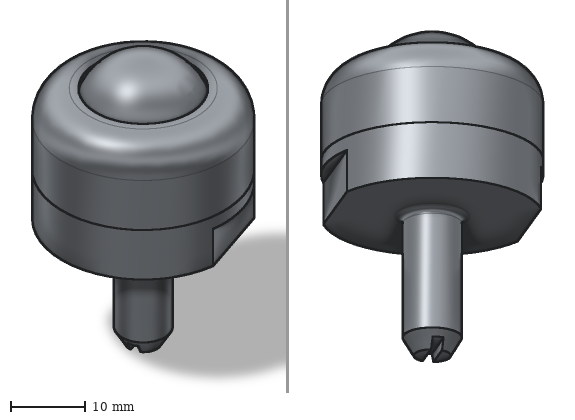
import cadquery as cq

overall_height = 46.0
body_diameter = 30.0
body_radius = body_diameter / 2

base_height = 8.0
cover_height = 13.0
cover_edge_radius = 5.0
cover_top = base_height + cover_height

flat_spacing = 27.0
flat_height = 6.0

stud_length = 20.0
stud_radius = 8.0 / 2
stud_root_fillet = 1.0
tip_radius = 4.95 / 2
tip_length = 2.58
slot_width = 1.5
slot_depth = 1.5

ball_radius = 19.05 / 2
ball_top = overall_height - stud_length
ball_center_z = ball_top - ball_radius
opening_radius = 17.5 / 2


def make_ball():
    return cq.Workplane("XY").sphere(ball_radius).translate((0, 0, ball_center_z))


def make_cover(ball):
    cover = cq.Workplane("XY").workplane(offset=base_height).circle(body_radius).extrude(cover_height)
    cover = cover.faces(">Z").edges().fillet(cover_edge_radius)
    opening = (
        cq.Workplane("XY").workplane(offset=ball_center_z)
        .circle(opening_radius).extrude(cover_top - ball_center_z)
    )
    return cover.cut(opening).cut(ball)


def make_stud():
    root_z = -stud_root_fillet
    arc_offset = stud_root_fillet * (1 - 0.5 ** 0.5)
    profile = (
        cq.Workplane("XZ")
        .moveTo(0, 0)
        .lineTo(stud_radius + stud_root_fillet, 0)
        .threePointArc((stud_radius + arc_offset, -arc_offset), (stud_radius, root_z))
        .lineTo(stud_radius, tip_length - stud_length)
        .lineTo(tip_radius, -stud_length)
        .lineTo(0, -stud_length)
        .close()
    )
    stud = profile.revolve(360, (0, 0, 0), (0, 1, 0))
    slot = (
        cq.Workplane("XY").workplane(offset=-stud_length)
        .rect(slot_width, 2 * stud_radius).extrude(slot_depth)
    )
    return stud.cut(slot)


def make_base(ball):
    base = cq.Workplane("XY").circle(body_radius).extrude(base_height)
    between_flats = cq.Workplane("XY").rect(flat_spacing, body_diameter).extrude(flat_height)
    outside_flats = cq.Workplane("XY").circle(body_radius).extrude(flat_height).cut(between_flats)
    return base.cut(outside_flats).union(make_stud()).cut(ball)


ball = make_ball()
cover = make_cover(ball)
base = make_base(ball)

result = cq.Compound.makeCompound([ball.val(), *cover.vals(), *base.vals()])